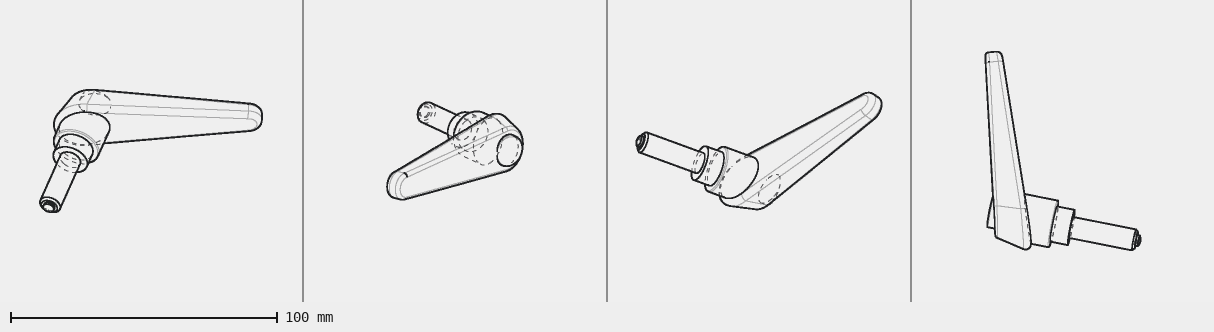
import cadquery as cq
import math


TOP_SLOPE = math.tan(math.radians(14.8))
BOTTOM_SLOPE = math.tan(math.radians(20.2))
TOP_ON_AXIS = 22.85
BOTTOM_ON_AXIS = 10.1
ROOT_RADIUS = 11.3
ROOT_DRAFT = math.tan(math.radians(12))
TIP_X = 57.55
TIP_LEAN = math.radians(17.5)
TIP_RADIUS = 5.2
TOP_FILLET = 1.3
BOTTOM_FILLET = 2.05

HUB_RADIUS = 9.0
HUB_FILLET = 0.45
BOSS_RADIUS = 6.0
BOSS_TOP = 24.3
BOSS_FILLET = 0.4

COLLAR_RADIUS = 6.75
COLLAR_LENGTH = 6.7
SHANK_RADIUS = 4.05
SHANK_END = -31.6
SHANK_CHAMFER = 0.9
POINT_RADIUS = 2.1
POINT_RIM = -32.5
POINT_END = -33.2
DOME_HEIGHT = POINT_RIM - POINT_END
DOME_RADIUS = (POINT_RADIUS**2 + DOME_HEIGHT**2) / (2 * DOME_HEIGHT)


def top_height(x):
    return TOP_ON_AXIS + TOP_SLOPE * x


def bottom_height(x):
    return BOTTOM_ON_AXIS + BOTTOM_SLOPE * x


def root_radius(y):
    return ROOT_RADIUS - ROOT_DRAFT * (y - BOTTOM_ON_AXIS)


def cylinder(radius, start, end):
    """Cylinder on the Y axis between two heights."""
    plane = cq.Plane(origin=(0, start, 0), xDir=(1, 0, 0), normal=(0, 1, 0))
    return cq.Workplane(plane).circle(radius).extrude(end - start)


def make_root():
    """Half cone around the axis on the -X side, between the two sloping faces."""
    cone = (
        cq.Workplane("XY")
        .polyline([(0, 0), (root_radius(0), 0), (root_radius(TOP_ON_AXIS), TOP_ON_AXIS), (0, TOP_ON_AXIS)])
        .close()
        .revolve(360, (0, 0), (0, 1))
    )
    reach = -2 * ROOT_RADIUS
    side_profile = (
        cq.Workplane("XY")
        .polyline([
            (0, BOTTOM_ON_AXIS),
            (reach, bottom_height(reach)),
            (reach, top_height(reach)),
            (0, TOP_ON_AXIS),
        ])
        .close()
        .extrude(2 * ROOT_RADIUS, both=True)
    )
    return cone.intersect(side_profile)


def tip_corners():
    """Lower and upper points of the leaning line where the arm meets its tip."""
    lower_y = bottom_height(TIP_X)
    lean = math.tan(TIP_LEAN)
    rise = (top_height(TIP_X) - lower_y) / (1 + TOP_SLOPE * lean)
    return (TIP_X, lower_y), (TIP_X - rise * lean, lower_y + rise)


def make_arm():
    """Tapering arm from the axis to the tip, with ruled side faces."""
    lower, upper = tip_corners()
    top_half_width = root_radius(TOP_ON_AXIS)
    bottom_half_width = root_radius(BOTTOM_ON_AXIS)
    rails = [
        (cq.Vector(0, BOTTOM_ON_AXIS, -bottom_half_width), cq.Vector(*lower, -TIP_RADIUS)),
        (cq.Vector(0, BOTTOM_ON_AXIS, bottom_half_width), cq.Vector(*lower, TIP_RADIUS)),
        (cq.Vector(0, TOP_ON_AXIS, top_half_width), cq.Vector(*upper, TIP_RADIUS)),
        (cq.Vector(0, TOP_ON_AXIS, -top_half_width), cq.Vector(*upper, -TIP_RADIUS)),
    ]
    bottom_left, bottom_right, top_right, top_left = rails

    def flat_face(points):
        return cq.Face.makeFromWires(cq.Wire.makePolygon(points, close=True))

    def ruled_face(first, second):
        return cq.Face.makeRuledSurface(cq.Edge.makeLine(*first), cq.Edge.makeLine(*second))

    faces = [
        flat_face([rail[0] for rail in rails]),
        flat_face([rail[1] for rail in rails]),
        flat_face([*bottom_left, *reversed(bottom_right)]),
        flat_face([*top_left, *reversed(top_right)]),
        ruled_face(bottom_left, top_left),
        ruled_face(bottom_right, top_right),
    ]
    return cq.Workplane(cq.Solid.makeSolid(cq.Shell.makeShell(faces)).fix())


def make_tip():
    """Half cylinder closing the arm, trimmed by the two sloping faces."""
    lower, upper = tip_corners()
    reach = TIP_X + 2 * TIP_RADIUS
    side_profile = (
        cq.Workplane("XY")
        .polyline([lower, (reach, bottom_height(reach)), (reach, top_height(reach)), upper])
        .close()
        .extrude(TIP_RADIUS, both=True)
    )
    axis = cq.Vector(-math.sin(TIP_LEAN), math.cos(TIP_LEAN), 0)
    start = cq.Vector(*lower, 0) - axis * TIP_RADIUS
    barrel = cq.Solid.makeCylinder(TIP_RADIUS, 4 * TIP_RADIUS, start, axis)
    return side_profile.intersect(cq.Workplane(barrel))


def make_lever():
    """Rounded lever with its hub and boss."""
    blank = make_root().union(make_arm()).union(make_tip())
    top_normal = cq.Vector(-TOP_SLOPE, 1, 0)
    bottom_normal = cq.Vector(BOTTOM_SLOPE, -1, 0)
    lever = blank.faces(cq.DirectionMinMaxSelector(bottom_normal, True)).edges().fillet(BOTTOM_FILLET)
    lever = lever.faces(cq.DirectionMinMaxSelector(top_normal, True)).edges().fillet(TOP_FILLET)
    middle = (TOP_ON_AXIS + BOTTOM_ON_AXIS) / 2
    hub = cylinder(HUB_RADIUS, 0, middle).faces("<Y").edges().fillet(HUB_FILLET)
    boss = cylinder(BOSS_RADIUS, middle, BOSS_TOP).faces(">Y").edges().fillet(BOSS_FILLET)
    return lever.union(hub).union(boss)


def make_stud():
    """Collar under the hub, chamfered shank and domed point."""
    collar = cylinder(COLLAR_RADIUS, -COLLAR_LENGTH, 0)
    shank = cylinder(SHANK_RADIUS, SHANK_END, -COLLAR_LENGTH).faces("<Y").chamfer(SHANK_CHAMFER)
    point = (
        cq.Workplane("XY")
        .moveTo(0, SHANK_END)
        .lineTo(POINT_RADIUS, SHANK_END)
        .lineTo(POINT_RADIUS, POINT_RIM)
        .radiusArc((0, POINT_END), DOME_RADIUS)
        .close()
        .revolve(360, (0, 0), (0, 1))
    )
    return collar.union(shank).union(point)


lever = make_lever()
stud = make_stud()
result = cq.Compound.makeCompound([lever.val(), stud.val()])